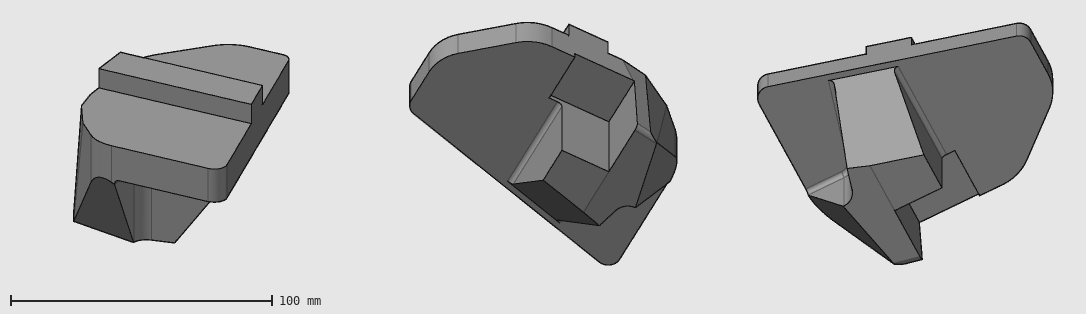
import cadquery as cq
import math


plate_length = 104.0
plate_thickness = 14.0
front_width = 78.4
side_angle = 15.0
side_slope = math.tan(math.radians(side_angle))
front_corner = 22.8
rear_corner_x = 24.6
rear_corner_y = 28.8
front_radius = 16.6
rear_end_radius = 16.6
rear_side_radius = 20.0
right_radius = 5.0

rail_width = 17.1
rail_height = 8.1

foot_depth = 48.2
foot_back = 52.4
wall_x = 31.0
wall_end_y = 20.1
wall_fillet = 6.0
root_fillet = 2.0
slant_start = (44.1, 23.6, -47.6)
slant_rise_slope = 0.757

recess_front = 32.0
recess_back = 57.9
recess_top = -11.5
recess_depth = 20.8
sole_slope = 0.08

facet_top = (2.0, 26.2, 0)
tip_slope_y = 0.18
tip_slope_z = 0.071
tip_fillet = 2.0
bevel_top = (10.2, front_corner - 10.2, 0)
foot_corner = (1.1, front_corner - 1.1, -47.1)
toe_upper = (17.9, front_corner - 17.9, -20.3)
toe_right = (wall_x, 15.1, -46.8)

reach = 208.0
margin = 10.4


def trimming_block(point, other, third, inside):
    """Block filling the side of the plane through three points away from `inside`."""
    origin = cq.Vector(*point)
    along = cq.Vector(*other) - origin
    normal = along.cross(cq.Vector(*third) - origin)
    if normal.dot(cq.Vector(*inside) - origin) > 0:
        normal = normal * -1
    plane = cq.Plane(origin=point, xDir=along.toTuple(), normal=normal.toTuple())
    return cq.Workplane(plane).rect(reach, reach).extrude(reach)


def box_between(low, high):
    """Box with the given lowest and highest corners."""
    size = [b - a for a, b in zip(low, high)]
    return cq.Workplane("XY").box(*size, centered=False).translate(low)


def right_side_x(y):
    """X of the slanted right side at the given Y."""
    return front_width - side_slope * y


def plate_prism(left, depth):
    """Plate outline extruded downward, with its straight left side at X = left."""
    diagonal_slope = rear_corner_y / rear_corner_x
    rear_left_y = plate_length - rear_corner_y + diagonal_slope * left
    corners = [
        (front_corner, 0),
        (front_width, 0),
        (right_side_x(plate_length), plate_length),
        (rear_corner_x, plate_length),
        (left, rear_left_y),
        (left, front_corner - left),
    ]
    prism = cq.Workplane("XY").polyline(corners).close().extrude(-depth)
    radii = [front_radius, right_radius, right_radius, rear_end_radius, rear_side_radius]
    for (x, y), radius in zip(corners, radii):
        corner_edge = cq.selectors.NearestToPointSelector((x, y, -depth / 2))
        prism = prism.edges(corner_edge).fillet(radius)
    return prism


def make_foot():
    """Foot with its stepped front, sloping right face and full outer corner."""
    end_y = wall_end_y + side_slope * (front_width - wall_x)
    profile = [
        (-margin, 0),
        (wall_x, 0),
        (wall_x, wall_end_y),
        (front_width, end_y),
        (front_width, foot_back),
        (-margin, foot_back),
    ]
    foot = cq.Workplane("XY").polyline(profile).close().extrude(-foot_depth)
    step = cq.selectors.NearestToPointSelector((wall_x, wall_end_y, -foot_depth / 2))
    foot = foot.edges(step).fillet(wall_fillet)
    x, y, z = slant_start
    along_y = (x - side_slope * margin, y + margin, z)
    upward = (x + slant_rise_slope * margin, y, z + margin)
    foot = foot.cut(trimming_block(slant_start, along_y, upward, (0, y, z)))
    return foot.intersect(plate_prism(-margin, foot_depth))


def fillet_root(body):
    """Round the inside corners where the foot meets the plate underside."""
    middle_x = (wall_x + right_side_x(wall_end_y)) / 2
    spots = [
        (wall_x, wall_end_y / 3),
        (wall_x + wall_fillet / 4, wall_end_y - wall_fillet / 4),
        (middle_x, wall_end_y + side_slope * (middle_x - wall_x)),
        (front_width / 2, foot_back),
    ]
    all_edges = body.edges().vals()
    roots = []
    for x, y in spots:
        spot = cq.Vertex.makeVertex(x, y, -plate_thickness)
        roots.append(min(all_edges, key=spot.distance))
    return body.newObject(roots).fillet(root_fillet)


def tip_point(y, z):
    """Point on the tip facet at the given Y and Z."""
    x = facet_top[0] - tip_slope_y * (y - facet_top[1]) + tip_slope_z * z
    return (x, y, z)


rail = box_between(
    (0, (plate_length - rail_width) / 2, recess_top / 2),
    (front_width, (plate_length + rail_width) / 2, rail_height),
)
lower_right = (front_width, 0, 0)
rail_end = trimming_block(
    lower_right,
    (right_side_x(plate_length), plate_length, 0),
    (front_width, 0, rail_height),
    (0, 0, 0),
)
rail = rail.cut(rail_end)

result = plate_prism(0, plate_thickness).union(make_foot())
result = fillet_root(result)

inside = (front_width / 2, foot_back, 0)
tip = trimming_block(facet_top, tip_point(recess_front, 0), tip_point(recess_front, -foot_depth), inside)
middle = trimming_block(facet_top, bevel_top, foot_corner, inside)
toe = trimming_block(foot_corner, toe_upper, toe_right, inside)

sole_start = (0, recess_front, -foot_depth)
sole_side = (margin, recess_front, -foot_depth)
sole_front = (0, recess_front - margin, -foot_depth + sole_slope * margin)
sole = trimming_block(sole_start, sole_side, sole_front, inside)

recess = box_between(
    (-margin, recess_front, -foot_depth - margin),
    (recess_depth, recess_back, recess_top),
)

left_side = box_between((-margin, 0, recess_top), (0, plate_length, 0))

for block in (tip, middle, sole, recess, left_side):
    result = result.cut(block)

tip_middle_y = (recess_front + facet_top[1]) / 2
tip_edge = cq.selectors.NearestToPointSelector(tip_point(tip_middle_y, -foot_depth))
result = result.edges(tip_edge).fillet(tip_fillet)
result = result.cut(toe).union(rail)